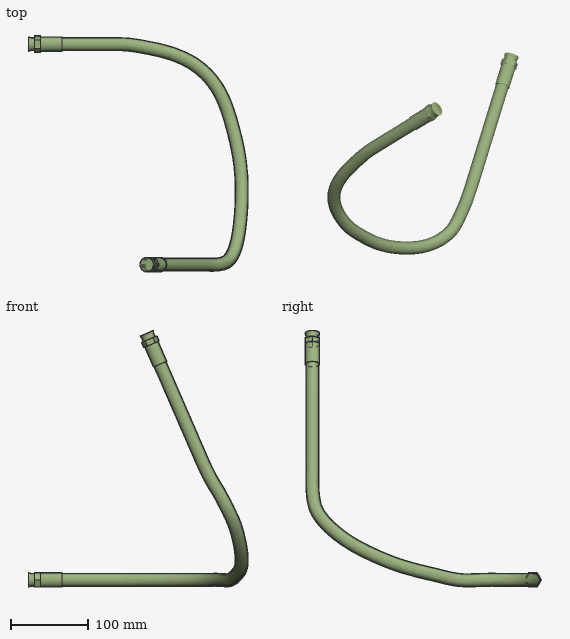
import cadquery as cq
import math

overall_y = 306
overall_z = 332.5

hose_diameter = 17.0
fitting_diameter = 19.0
neck_diameter = 17.0
hex_sides = 6
hex_corner_diameter = fitting_diameter / math.cos(math.pi / hex_sides)

tip_length = 3.5
neck_end = 8.3
hex_length = 7.3
fitting_length = 43.5

lower_end_y = overall_y - hex_corner_diameter / 2
base_z = fitting_diameter / 2
lower_end = cq.Vector(0, lower_end_y, base_z)
lower_axis = cq.Vector(1, 0, 0)
lower_straight_length = 117.0

upper_lean = 23.5
lean_radians = math.radians(upper_lean)
upper_end_x = 153.3
upper_end_y = fitting_diameter / 2
upper_end_z = overall_z - fitting_diameter / 2 * math.sin(lean_radians)
upper_end = cq.Vector(upper_end_x, upper_end_y, upper_end_z)
upper_axis = cq.Vector(math.sin(lean_radians), 0, -math.cos(lean_radians))
upper_straight_length = 178.0

bend_points = [
    (149.5, 291.2, base_z),
    (185.8, 282.5, base_z),
    (224.0, 262.0, base_z),
    (248.5, 231.0, base_z),
    (261.5, 197.5, 9.5),
    (268.3, 172.5, 15.0),
    (273.5, 145.0, 21.5),
    (276.2, 111.7, 32.0),
    (276.0, 86.5, 42.5),
    (274.0, 61.5, 55.5),
    (269.5, 36.5, 73.5),
    (263.5, 21.0, 89.8),
    (257.0, 13.3, 103.5),
    (247.3, 10.0, 121.7),
]


def make_hose():
    """Round hose: two straight ends joined by one smooth free-form bend."""
    bend_start = lower_end + lower_axis * lower_straight_length
    bend_end = upper_end + upper_axis * upper_straight_length
    middle = [cq.Vector(*point) for point in bend_points]
    bend = cq.Edge.makeSpline(
        [bend_start] + middle + [bend_end],
        tangents=[lower_axis, upper_axis * -1],
    )
    path = cq.Wire.assembleEdges([
        cq.Edge.makeLine(lower_end + lower_axis * neck_end, bend_start),
        bend,
        cq.Edge.makeLine(bend_end, upper_end + upper_axis * neck_end),
    ])
    start_plane = cq.Plane(lower_end + lower_axis * neck_end, cq.Vector(0, 1, 0), lower_axis)
    return cq.Workplane(start_plane).circle(hose_diameter / 2).sweep(cq.Workplane(obj=path))


def make_fitting(free_end, axis, corner_direction):
    """Flared tip, neck, hexagon and collar, with a hexagon corner on corner_direction."""
    plane = cq.Plane(free_end, corner_direction, axis)
    tip = (
        cq.Workplane(plane).circle(fitting_diameter / 2)
        .workplane(offset=tip_length).circle(neck_diameter / 2).loft()
    )
    neck = (
        cq.Workplane(plane).workplane(offset=tip_length)
        .circle(neck_diameter / 2).extrude(neck_end - tip_length)
    )
    hexagon = (
        cq.Workplane(plane).workplane(offset=neck_end)
        .polygon(hex_sides, hex_corner_diameter).extrude(hex_length)
    )
    collar = (
        cq.Workplane(plane).workplane(offset=neck_end)
        .circle(fitting_diameter / 2).extrude(fitting_length - neck_end)
    )
    return tip.union(neck).union(hexagon).union(collar)


lower_fitting = make_fitting(lower_end, lower_axis, cq.Vector(0, 1, 0))
upper_fitting = make_fitting(upper_end, upper_axis, upper_axis.cross(cq.Vector(0, 1, 0)))

result = make_hose().union(lower_fitting).union(upper_fitting)